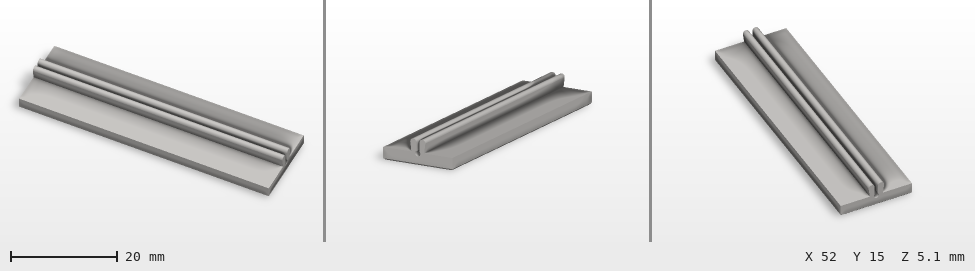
import cadquery as cq

length = 52.0
plate_width = 15.0
plate_thickness = 2.5
bottom_chamfer = 0.3

total_height = 5.1
head_span = 3.3
root_span = 2.75

slot_width = 0.75
relief_diameter = 1.1
relief_depth = 0.8

head_radius = (head_span - slot_width) / 4
head_height = total_height - head_radius
head_offset = head_span / 2 - head_radius
relief_height = plate_thickness - relief_depth + relief_diameter / 2


def profile_plane():
    """Sketch plane on the -X end of the part, with Y across and Z up."""
    return cq.Workplane("YZ", origin=(-length / 2, 0, 0))


def make_plate():
    plate = cq.Workplane("XY").box(length, plate_width, plate_thickness, centered=(True, True, False))
    return plate.faces("<Z").chamfer(bottom_chamfer)


def make_finger(side):
    """Finger with a half-round top, narrowing towards its root, on the +Y (1) or -Y (-1) side."""
    inner = side * slot_width / 2
    head_outer = side * head_span / 2
    root_outer = side * root_span / 2

    return (
        profile_plane()
        .moveTo(inner, relief_height)
        .lineTo(inner, head_height)
        .threePointArc((side * head_offset, total_height), (head_outer, head_height))
        .lineTo(root_outer, plate_thickness)
        .lineTo(root_outer, relief_height)
        .close()
        .extrude(length)
    )


def make_gap():
    """Round relief groove at the finger roots, opening upwards through the slot."""
    relief = profile_plane().center(0, relief_height).circle(relief_diameter / 2).extrude(length)
    slot = cq.Workplane("XY", origin=(0, 0, relief_height)).box(
        length, slot_width, total_height - relief_height, centered=(True, True, False)
    )
    return relief.union(slot)


result = make_plate()
for side in (1, -1):
    result = result.union(make_finger(side))
result = result.cut(make_gap())